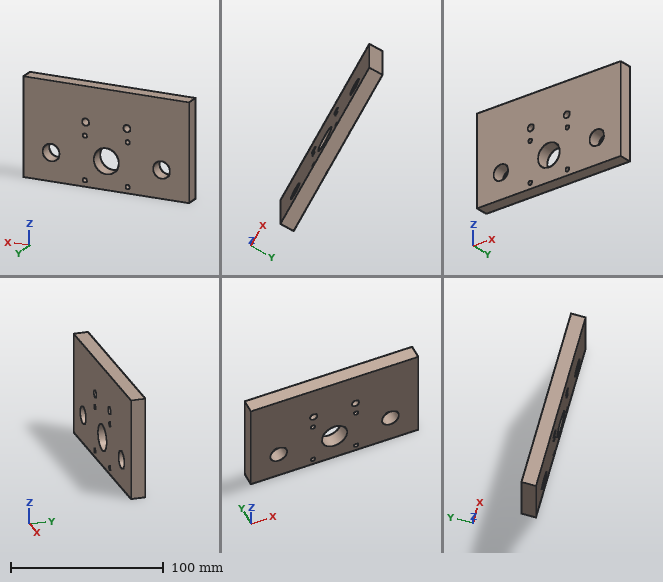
import cadquery as cq

width = 120.0
thickness = 10.0
height = 70.0

axis_height = 20.0
bore_diameter = 18.0
screw_spacing = 31.0
screw_diameter = 3.0

side_spacing = 80.0
side_diameter = 12.0

upper_spacing = 30.0
upper_height = 45.0
upper_diameter = 5.0


def drill(plate, points, diameter):
    """Drill through holes at (x, z) points, z measured from the bottom edge."""
    front = plate.faces("<Y").workplane(origin=(0, 0, 0))
    return front.pushPoints(points).hole(diameter)


def mirrored_pair(spacing, z):
    return [(-spacing / 2, z), (spacing / 2, z)]


screw_points = []
for z_offset in (-screw_spacing / 2, screw_spacing / 2):
    screw_points += mirrored_pair(screw_spacing, axis_height + z_offset)

result = cq.Workplane("XY").box(width, thickness, height, centered=(True, True, False))
result = drill(result, [(0, axis_height)], bore_diameter)
result = drill(result, screw_points, screw_diameter)
result = drill(result, mirrored_pair(side_spacing, axis_height), side_diameter)
result = drill(result, mirrored_pair(upper_spacing, upper_height), upper_diameter)